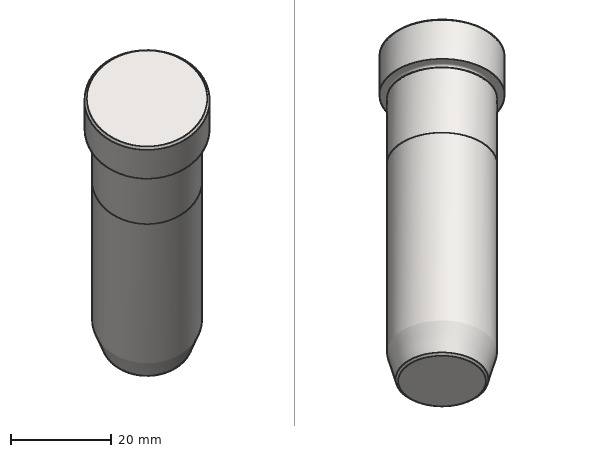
import cadquery as cq
import math

total_length = 80.0
head_diameter = 25.0
head_height = 10.0
shank_diameter = 22.0

headed_body_length = 27.0

head_chamfer = 0.5
groove_radius = 0.5
tip_chamfer_width = 0.5
tip_chamfer_height = 0.45
taper_length = 7.0
taper_angle = 15.0

head_radius = head_diameter / 2
shank_radius = shank_diameter / 2
taper_inset = (taper_length - tip_chamfer_height) * math.tan(math.radians(taper_angle))
taper_end_radius = shank_radius - taper_inset
tip_radius = taper_end_radius - tip_chamfer_width

joint_z = total_length - headed_body_length
head_bottom_z = total_length - head_height
groove_center_z = head_bottom_z - groove_radius


def revolve_about_z(profile):
    """Turn a closed (radius, height) profile on the XZ plane into a solid about Z."""
    return profile.close().revolve(360, (0, 0), (0, 1))


def make_headed_body():
    """Head with a chamfered rim, a half-round groove under the head and the upper shank."""
    profile = (
        cq.Workplane("XZ")
        .moveTo(0, joint_z)
        .lineTo(shank_radius, joint_z)
        .lineTo(shank_radius, groove_center_z - groove_radius)
        .threePointArc(
            (shank_radius - groove_radius, groove_center_z),
            (shank_radius, head_bottom_z),
        )
        .lineTo(head_radius, head_bottom_z)
        .lineTo(head_radius, total_length - head_chamfer)
        .lineTo(head_radius - head_chamfer, total_length)
        .lineTo(0, total_length)
    )
    return revolve_about_z(profile)


def make_tapered_body():
    """Lower shank with a lead-in taper and a chamfered tip."""
    profile = (
        cq.Workplane("XZ")
        .moveTo(0, 0)
        .lineTo(tip_radius, 0)
        .lineTo(taper_end_radius, tip_chamfer_height)
        .lineTo(shank_radius, taper_length)
        .lineTo(shank_radius, joint_z)
        .lineTo(0, joint_z)
    )
    return revolve_about_z(profile)


headed_body = make_headed_body()
tapered_body = make_tapered_body()

result = cq.Compound.makeCompound([headed_body.val(), tapered_body.val()])